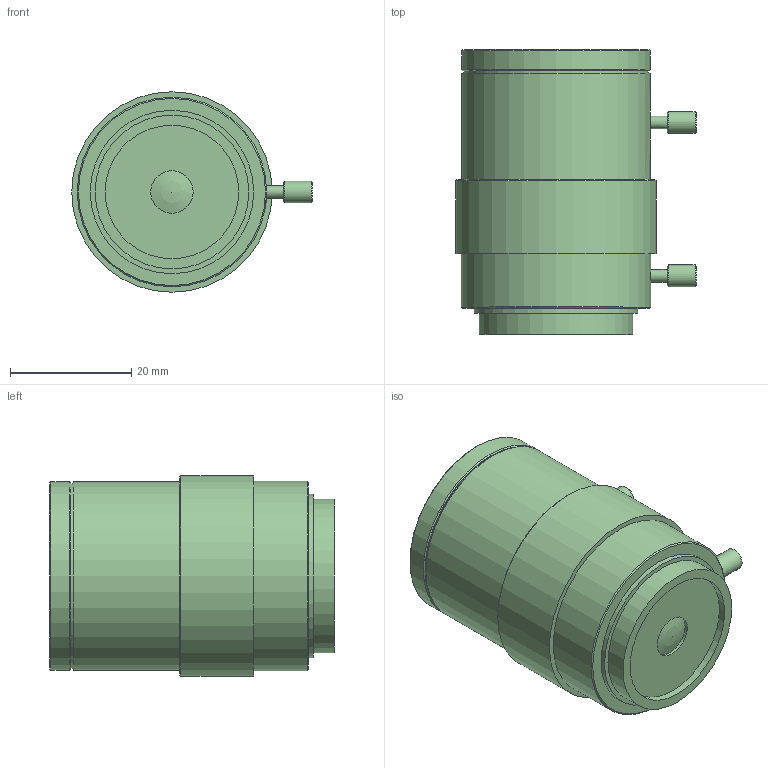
import cadquery as cq
import math


mount_length = 3.5
flange_end = 4.3
collar_start = 13.3
collar_end = 25.5
groove_start = 43.0
groove_end = 43.4
total_length = 46.9

mount_radius = 12.65
flange_radius = 13.45
body_radius = 15.6
rear_radius = 15.55
collar_radius = 16.5
groove_radius = 15.2
edge_chamfer = 0.2

recess_radius = 11.0
recess_depth = 1.2
lens_radius = 3.5
lens_pocket_depth = 0.5
lens_dome_height = 0.5

screw_stations = (9.65, 34.9)
overall_width = 39.6
screw_tip_x = overall_width - collar_radius
screw_head_length = 4.8
screw_head_radius = 1.8
screw_shank_radius = 1.05
screw_chamfer = 0.2
screw_sink_depth = 2.0
screw_root_x = body_radius - screw_sink_depth


def make_barrel():
    """Revolved stepped barrel, with chamfered edges and a thin groove near the rear."""
    profile = [
        (0, 0),
        (mount_radius, 0),
        (mount_radius, mount_length),
        (flange_radius, mount_length),
        (flange_radius, flange_end),
        (body_radius - edge_chamfer, flange_end),
        (body_radius, flange_end + edge_chamfer),
        (body_radius, collar_start),
        (collar_radius, collar_start),
        (collar_radius, collar_end - edge_chamfer),
        (collar_radius - edge_chamfer, collar_end),
        (rear_radius, collar_end),
        (rear_radius, groove_start),
        (groove_radius, groove_start),
        (groove_radius, groove_end),
        (rear_radius - edge_chamfer, groove_end),
        (rear_radius, groove_end + edge_chamfer),
        (rear_radius, total_length - edge_chamfer),
        (rear_radius - edge_chamfer, total_length),
        (0, total_length),
    ]
    return cq.Workplane("XY").polyline(profile).close().revolve(360, (0, 0), (0, 1))


def make_front_cavity():
    """Round recess in the mount, with a pocket whose floor swells into the lens dome."""
    floor = recess_depth + lens_pocket_depth
    apex = floor - lens_dome_height
    dome_sphere_radius = (lens_radius**2 + lens_dome_height**2) / (2 * lens_dome_height)
    half_arc = math.asin(lens_radius / dome_sphere_radius) / 2
    arc_middle = (
        dome_sphere_radius * math.sin(half_arc),
        apex + dome_sphere_radius * (1 - math.cos(half_arc)),
    )
    return (
        cq.Workplane("XY")
        .lineTo(recess_radius, 0)
        .lineTo(recess_radius, recess_depth)
        .lineTo(lens_radius, recess_depth)
        .lineTo(lens_radius, floor)
        .threePointArc(arc_middle, (0, apex))
        .close()
        .revolve(360, (0, 0), (0, 1))
    )


def make_screw(station):
    """Locking screw pointing along +X, its shank sunk into the barrel wall."""
    head_start = screw_tip_x - screw_head_length
    head = (
        cq.Workplane("YZ", origin=(head_start, station, 0))
        .circle(screw_head_radius)
        .extrude(screw_head_length)
        .edges()
        .chamfer(screw_chamfer)
    )
    shank = (
        cq.Workplane("YZ", origin=(screw_root_x, station, 0))
        .circle(screw_shank_radius)
        .extrude(head_start - screw_root_x)
    )
    return head.union(shank)


result = make_barrel().cut(make_front_cavity())
for screw_station in screw_stations:
    result = result.union(make_screw(screw_station))